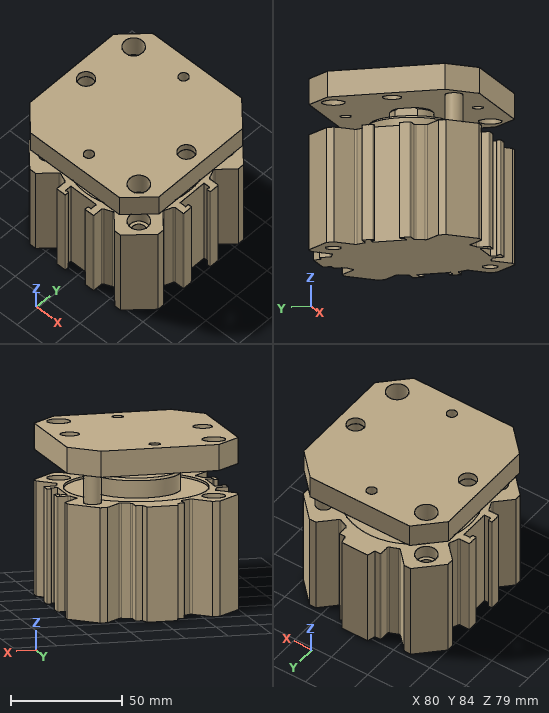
import cadquery as cq
import math

TOTAL_HEIGHT = 79.0
HOUSING_HEIGHT = 53.0
PLATE_THICKNESS = 12.0
PLATE_BOTTOM = TOTAL_HEIGHT - PLATE_THICKNESS

WIDTH = 80.0
HALF_WIDTH = WIDTH / 2
HOUSING_CORNER_CUT = 12.0
PLATE_CORNER_CUT = 12.5

LEG_WIDTH = 22.0
POCKET_FLOOR_RADIUS = 36.1
POCKET_FILLET = 1.0
RAIL_OUTER = 11.4
SLOT_HALF_OPENING = 6.05
SLOT_HALF_FLOOR = 7.8
SLOT_DEPTH = 5.5
LIP_THICKNESS = 2.1
RAIL_EDGE_FILLET = 0.25

COVER_DEPTH = 84.0 - WIDTH
COVER_BASE_WIDTH = 16.5
COVER_TOP_WIDTH = 14.3

FACE_RECESS_DIAMETER = 65.5
FACE_RECESS_DEPTH = 1.0
BOSS_DIAMETER = 40.0
BOSS_HEIGHT = 8.0
BOSS_CHAMFER = 1.0
BOSS_TOP = HOUSING_HEIGHT + BOSS_HEIGHT

CORNER_OFFSET = 28.3
BOLT_HOLE_DIAMETER = 7.0
BOLT_HEAD_DIAMETER = 10.5
BOLT_HEAD_DEPTH = 6.5
PIN_DIAMETER = 8.0

ROD_DIAMETER = 20.0
ROD_FLAT_WIDTH = 17.0
ROD_COLLAR_HEIGHT = 1.4
ROD_CHAMFER = 0.7

PLATE_HOLE_OFFSET = 31.0
LARGE_HOLE_DIAMETER = 8.6
LARGE_HOLE_LOWER_DIAMETER = 8.5
LARGE_HOLE_UPPER_DEPTH = 3.5
SMALL_HOLE_DIAMETER = 4.95

BOLT_POINTS = [(-CORNER_OFFSET, CORNER_OFFSET), (CORNER_OFFSET, -CORNER_OFFSET)]
PIN_POINTS = [(-CORNER_OFFSET, -CORNER_OFFSET), (CORNER_OFFSET, CORNER_OFFSET)]
LARGE_HOLE_POINTS = [(-PLATE_HOLE_OFFSET, 0), (PLATE_HOLE_OFFSET, 0)]
SMALL_HOLE_POINTS = [(0, -PLATE_HOLE_OFFSET), (0, PLATE_HOLE_OFFSET)]


def octagonal_block(bottom, height, corner_cut):
    """Square block with its four upright corners cut at 45 degrees."""
    return (
        cq.Workplane("XY", origin=(0, 0, bottom))
        .rect(WIDTH, WIDTH)
        .extrude(height)
        .edges("|Z")
        .chamfer(corner_cut)
    )


def cylinders(points, diameter, bottom, top):
    """Upright cylinders at the given points."""
    return (
        cq.Workplane("XY", origin=(0, 0, bottom))
        .pushPoints(points)
        .circle(diameter / 2)
        .extrude(top - bottom)
    )


def side_pocket():
    """Cutter for the pocket between a rail and a corner leg, on the +X half of the -Y side."""
    leg_shift = LEG_WIDTH / math.sqrt(2)
    leg_floor_x = (math.sqrt(2 * POCKET_FLOOR_RADIUS**2 - leg_shift**2) - leg_shift) / 2
    leg_floor_y = -leg_floor_x - leg_shift
    rail_floor_y = -math.sqrt(POCKET_FLOOR_RADIUS**2 - RAIL_OUTER**2)
    middle_x = (RAIL_OUTER + leg_floor_x) / 2
    middle_y = -math.sqrt(POCKET_FLOOR_RADIUS**2 - middle_x**2)
    pocket = (
        cq.Workplane("XY")
        .moveTo(RAIL_OUTER, -HALF_WIDTH)
        .lineTo(RAIL_OUTER, rail_floor_y)
        .threePointArc((middle_x, middle_y), (leg_floor_x, leg_floor_y))
        .lineTo(HALF_WIDTH - leg_shift, -HALF_WIDTH)
        .close()
        .extrude(HOUSING_HEIGHT)
    )
    return pocket.edges("|Z and (not <Y)").fillet(POCKET_FILLET)


def t_slot():
    """Cutter for the T-slot in the middle of the -Y side."""
    lip_y = -HALF_WIDTH + LIP_THICKNESS
    floor_y = -HALF_WIDTH + SLOT_DEPTH
    return (
        cq.Workplane("XY")
        .moveTo(0, -HALF_WIDTH)
        .lineTo(SLOT_HALF_OPENING, -HALF_WIDTH)
        .lineTo(SLOT_HALF_OPENING, lip_y)
        .lineTo(SLOT_HALF_FLOOR, lip_y)
        .lineTo(SLOT_HALF_FLOOR, floor_y)
        .lineTo(0, floor_y)
        .mirrorY()
        .extrude(HOUSING_HEIGHT)
    )


def cable_cover():
    """Tapered strip along the +Y side, with a backing that fills the T-slot behind it."""
    strip = (
        cq.Workplane("XY")
        .polyline([
            (-COVER_BASE_WIDTH / 2, HALF_WIDTH),
            (COVER_BASE_WIDTH / 2, HALF_WIDTH),
            (COVER_TOP_WIDTH / 2, HALF_WIDTH + COVER_DEPTH),
            (-COVER_TOP_WIDTH / 2, HALF_WIDTH + COVER_DEPTH),
        ])
        .close()
        .extrude(HOUSING_HEIGHT)
    )
    backing_y = HALF_WIDTH - SLOT_DEPTH / 2
    backing = cq.Workplane("XY").center(0, backing_y).rect(2 * SLOT_HALF_FLOOR, SLOT_DEPTH)
    return strip.union(backing.extrude(HOUSING_HEIGHT))


def is_rail_edge(edge):
    """True for the upright edges on the outer face and the lip tip of a rail."""
    centre = edge.Center()
    along, outward = sorted([abs(centre.x), abs(centre.y)])
    rail_corners = [
        (RAIL_OUTER, HALF_WIDTH),
        (SLOT_HALF_OPENING, HALF_WIDTH),
        (SLOT_HALF_OPENING, HALF_WIDTH - LIP_THICKNESS),
    ]
    return any(math.dist((along, outward), corner) < RAIL_EDGE_FILLET for corner in rail_corners)


def make_housing():
    """Cylinder housing with its profiled sides and the guide boss of the rod."""
    housing = octagonal_block(0, HOUSING_HEIGHT, HOUSING_CORNER_CUT)
    pocket = side_pocket()
    side_cutters = [pocket, pocket.mirror("YZ"), t_slot()]
    for side in range(4):
        for cutter in side_cutters:
            housing = housing.cut(cutter.rotate((0, 0, 0), (0, 0, 1), side * 90))
    housing = housing.edges("|Z").filter(is_rail_edge).fillet(RAIL_EDGE_FILLET)
    housing = housing.union(cable_cover())

    recess_floor = HOUSING_HEIGHT - FACE_RECESS_DEPTH
    housing = housing.cut(cylinders([(0, 0)], FACE_RECESS_DIAMETER, recess_floor, HOUSING_HEIGHT))
    boss = cylinders([(0, 0)], BOSS_DIAMETER, recess_floor, BOSS_TOP)
    housing = housing.union(boss.faces(">Z").edges().chamfer(BOSS_CHAMFER))

    head_floor = HOUSING_HEIGHT - BOLT_HEAD_DEPTH
    housing = housing.cut(cylinders(BOLT_POINTS, BOLT_HOLE_DIAMETER, 0, HOUSING_HEIGHT))
    return housing.cut(cylinders(BOLT_POINTS, BOLT_HEAD_DIAMETER, head_floor, HOUSING_HEIGHT))


def make_rod():
    """Rod between boss and plate, with two wrench flats facing -X and +X."""
    rod = cylinders([(0, 0)], ROD_DIAMETER, BOSS_TOP, PLATE_BOTTOM)
    rod = rod.faces(">Z").edges().chamfer(ROD_CHAMFER)
    collar = cylinders([(0, 0)], ROD_DIAMETER, BOSS_TOP, BOSS_TOP + ROD_COLLAR_HEIGHT)
    flat_zone = cq.Workplane("XY", origin=(0, 0, BOSS_TOP)).rect(ROD_FLAT_WIDTH, ROD_DIAMETER)
    return rod.intersect(flat_zone.extrude(PLATE_BOTTOM - BOSS_TOP)).union(collar)


def make_moving_plate():
    """Plate with the rod and the two guide pins that carry it."""
    plate = octagonal_block(PLATE_BOTTOM, PLATE_THICKNESS, PLATE_CORNER_CUT)
    ledge = TOTAL_HEIGHT - LARGE_HOLE_UPPER_DEPTH
    plate = plate.cut(cylinders(BOLT_POINTS, BOLT_HEAD_DIAMETER, PLATE_BOTTOM, TOTAL_HEIGHT))
    plate = plate.cut(cylinders(LARGE_HOLE_POINTS, LARGE_HOLE_LOWER_DIAMETER, PLATE_BOTTOM, ledge))
    plate = plate.cut(cylinders(LARGE_HOLE_POINTS, LARGE_HOLE_DIAMETER, ledge, TOTAL_HEIGHT))
    plate = plate.cut(cylinders(SMALL_HOLE_POINTS, SMALL_HOLE_DIAMETER, PLATE_BOTTOM, TOTAL_HEIGHT))
    plate = plate.union(make_rod())
    return plate.union(cylinders(PIN_POINTS, PIN_DIAMETER, HOUSING_HEIGHT, PLATE_BOTTOM))


housing = make_housing()
moving_plate = make_moving_plate()

result = cq.Compound.makeCompound([housing.solids().val(), moving_plate.solids().val()])